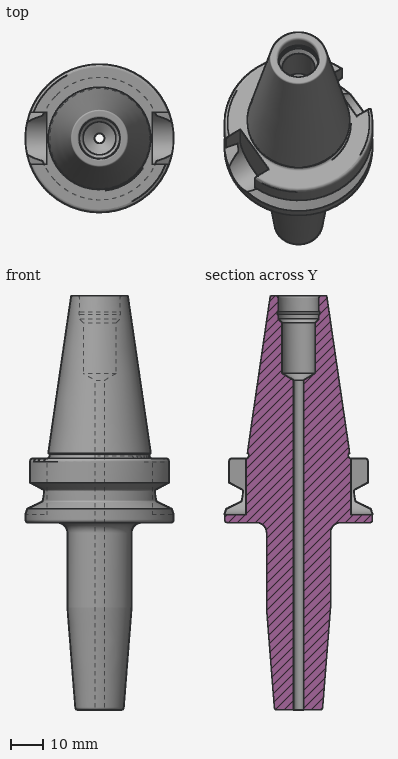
import cadquery as cq
import math


gauge_radius = 31.75 / 2
taper_length = 48.4
taper_slope = 7 / 24 / 2
taper_tip_radius = gauge_radius - taper_length * taper_slope
taper_tip_round = 0.5

relief_radius = 15.5
gauge_land = 0.4
relief_chamfer = gauge_radius - relief_radius
relief_fillet = 0.8

flange_radius = 23.0
flange_top = -2.0
flange_thickness = 20.0
flange_bottom = flange_top - flange_thickness
flange_round = 1.0
groove_center = -13.6
groove_floor_width = 3.5
groove_floor_radius = 19.0
groove_flank_angle = 30.0
groove_fillet = 0.5
groove_top = groove_center + groove_floor_width / 2
groove_bottom = groove_center - groove_floor_width / 2

slot_width = 16.1
slot_floor_offset = 16.3
slot_bottom = -19.4

shank_radius = 10.0
shank_fillet = 3.0
nose_bottom = -80.0
nose_end_radius = 7.5
nose_angle = 4.5
nose_end_round = 0.9

bore_radius = 6.25
bore_mouth_round = 0.75
bore_depth = 7.2
ring_groove_start = 5.0
ring_groove_width = 0.8
ring_groove_depth = 0.2
thread_radius = 5.1
thread_depth = 24.0
drill_point_angle = 118.0
passage_radius = 1.5

match_tolerance = 1e-4


def revolve_about_z(points):
    """Solid of revolution from (radius, height) points."""
    return cq.Workplane("XZ").polyline(points).close().revolve(360, (0, 0, 0), (0, 1, 0))


def fillet_circle(body, radius, height, fillet_radius):
    """Fillet the circular edge of the given radius and height around the Z axis."""

    def is_wanted(edge):
        radius_matches = abs(edge.radius() - radius) < match_tolerance
        return radius_matches and abs(edge.Center().z - height) < match_tolerance

    return body.newObject(body.edges("%CIRCLE").filter(is_wanted).vals()).fillet(fillet_radius)


def make_body():
    flank_height = (flange_radius - groove_floor_radius) * math.tan(math.radians(groove_flank_angle))
    nose_cone_height = (shank_radius - nose_end_radius) / math.tan(math.radians(nose_angle))
    body = revolve_about_z([
        (0, taper_length),
        (taper_tip_radius, taper_length),
        (gauge_radius, 0),
        (gauge_radius, -gauge_land),
        (relief_radius, -gauge_land - relief_chamfer),
        (relief_radius, flange_top),
        (flange_radius, flange_top),
        (flange_radius, groove_top + flank_height),
        (groove_floor_radius, groove_top),
        (groove_floor_radius, groove_bottom),
        (flange_radius, groove_bottom - flank_height),
        (flange_radius, flange_bottom),
        (shank_radius, flange_bottom),
        (shank_radius, nose_bottom + nose_cone_height),
        (nose_end_radius, nose_bottom),
        (0, nose_bottom),
    ])
    body = fillet_circle(body, taper_tip_radius, taper_length, taper_tip_round)
    body = fillet_circle(body, relief_radius, flange_top, relief_fillet)
    body = fillet_circle(body, flange_radius, flange_top, flange_round)
    body = fillet_circle(body, groove_floor_radius, groove_top, groove_fillet)
    body = fillet_circle(body, groove_floor_radius, groove_bottom, groove_fillet)
    body = fillet_circle(body, flange_radius, flange_bottom, flange_round)
    body = fillet_circle(body, shank_radius, flange_bottom, shank_fillet)
    return fillet_circle(body, nose_end_radius, nose_bottom, nose_end_round)


def cut_bore(body):
    """Stepped bore from the taper tip, with a coolant passage through to the nose."""
    ring_groove_top = taper_length - ring_groove_start
    ring_groove_bottom = ring_groove_top - ring_groove_width
    ring_groove_radius = bore_radius + ring_groove_depth
    step_top = taper_length - bore_depth
    step_bottom = step_top - (bore_radius - thread_radius)
    thread_bottom = taper_length - thread_depth
    point_height = (thread_radius - passage_radius) / math.tan(math.radians(drill_point_angle / 2))
    bore = revolve_about_z([
        (0, taper_length),
        (bore_radius, taper_length),
        (bore_radius, ring_groove_top),
        (ring_groove_radius, ring_groove_top),
        (ring_groove_radius, ring_groove_bottom),
        (bore_radius, ring_groove_bottom),
        (bore_radius, step_top),
        (thread_radius, step_bottom),
        (thread_radius, thread_bottom),
        (passage_radius, thread_bottom - point_height),
        (passage_radius, nose_bottom),
        (0, nose_bottom),
    ])
    return fillet_circle(body.cut(bore), bore_radius, taper_length, bore_mouth_round)


def make_drive_slot(side):
    """Round-bottomed slot, open at the top of the flange; side is +1 or -1 along X."""
    slot_radius = slot_width / 2
    arc_center = slot_bottom + slot_radius
    outline = (
        cq.Workplane("YZ", origin=(side * slot_floor_offset, 0, 0))
        .moveTo(-slot_radius, flange_top)
        .lineTo(-slot_radius, arc_center)
        .threePointArc((0, slot_bottom), (slot_radius, arc_center))
        .lineTo(slot_radius, flange_top)
        .close()
    )
    return outline.extrude(side * flange_radius)


result = cut_bore(make_body())
for slot_side in (-1, 1):
    result = result.cut(make_drive_slot(slot_side))